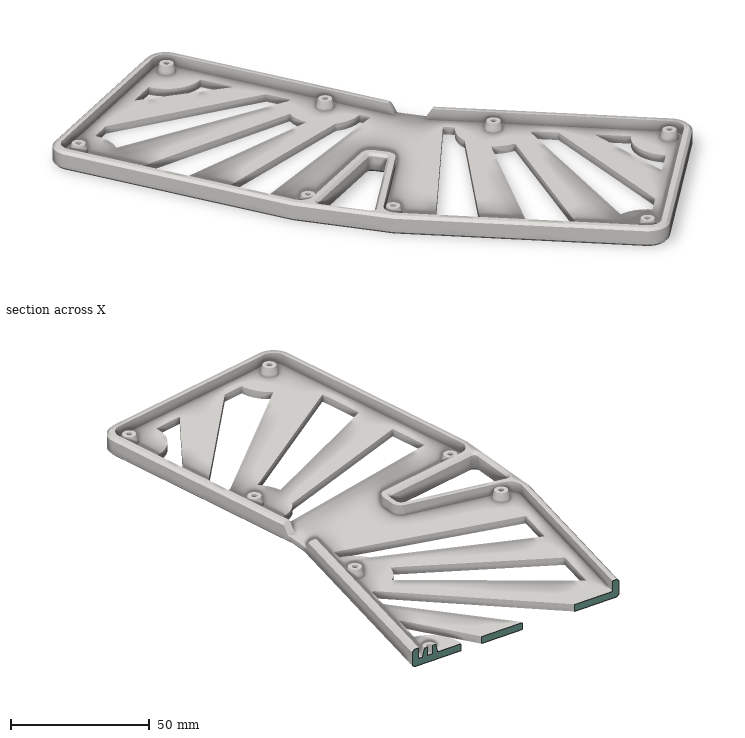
import cadquery as cq
import math

length = 231.1
depth = 104.5
height = 7.5

wing_angle = math.radians(10)
wing_cos = math.cos(wing_angle)
wing_sin = math.sin(wing_angle)

corner_radius = 8.0
front_flat_half = 19.0
back_flat_half = 4.5
edge_chamfer = 1.0

floor_thickness = 3.0
wall = 3.0
inner_radius = corner_radius - wall

window_back = 46.0
window_radius = 1.5
window_wall_radius = 4.0

gap_floor_half = 5.5
gap_rim_half = 8.3

boss_base_diameter = 7.0
boss_top_diameter = 5.0
boss_height = 3.5
hole_diameter = 2.2
boss_places = [(0.2, -0.2), (64.0, -0.2), (0.2, 71.2), (92.5, 71.2)]

fan_center = (0, 136.0)
fan_step = 7.1
slot_start_rays = [2, 4, 6, 8]
slot_margin = 8.0
boss_clearance_radius = 13.9


def along(point, u, v):
    """Move from a point by u along the left wing, towards the middle, and by v to its back."""
    return (point[0] + u * wing_cos + v * wing_sin, point[1] - u * wing_sin + v * wing_cos)


def mirrored(points):
    return [(-x, y) for x, y in reversed(points)]


def prism(left_points, bottom, thickness):
    """Upright prism on an outline given by its left half."""
    outline = left_points + mirrored(left_points)
    return cq.Workplane("XY").workplane(offset=bottom).polyline(outline).close().extrude(thickness)


def round_corners(body, points, radius):
    """Fillet the upright edges at the given points and at their mirror images."""
    margin = 0.2
    for x, y in points + mirrored(points):
        box = cq.selectors.BoxSelector((x - margin, y - margin, -2.3), (x + margin, y + margin, height + 2.3))
        body = body.edges("|Z").edges(box).fillet(radius)
    return body


middle_center = (-front_flat_half + corner_radius * math.tan(wing_angle / 2), corner_radius)
wing_length = (length / 2 - corner_radius + middle_center[0]) / wing_cos
front_center = along(middle_center, -wing_length, 0)
wing_depth = (depth - corner_radius - front_center[1]) / wing_cos
back_center = along(front_center, 0, wing_depth)

cavity_front = along(middle_center, inner_radius, -inner_radius)


def inner_edge_x(y, offset=0.0):
    """X of the line along the middle side of the left wing, moved by offset to the middle."""
    return cavity_front[0] + (y - cavity_front[1]) * math.tan(wing_angle) + offset / wing_cos


def outer_body():
    front_corner = along(front_center, -corner_radius, -corner_radius)
    back_corner = along(back_center, -corner_radius, corner_radius)
    back_edge = (-back_flat_half - back_corner[0]) / wing_cos
    bend = (-front_flat_half, 0)
    outline = [along(back_corner, back_edge, 0), back_corner, front_corner, bend]
    body = prism(outline, 0, height)
    return round_corners(body, [back_corner, front_corner, bend], corner_radius)


def window():
    back = (inner_edge_x(window_back, wall), window_back)
    front = (inner_edge_x(wall, wall), wall)
    return round_corners(prism([back, front], 0, height), [back, front], window_radius)


def cavity():
    front_corner = along(front_center, -inner_radius, -inner_radius)
    back_corner = along(back_center, -inner_radius, inner_radius)
    back_middle_y = along(back_corner, -back_corner[0] / wing_cos, 0)[1]
    window_wall_y = window_back + wall
    window_wall = (inner_edge_x(window_wall_y), window_wall_y)
    left = [back_corner, front_corner, cavity_front, window_wall]
    outline = left + mirrored(left) + [(0, back_middle_y)]
    body = cq.Workplane("XY").workplane(offset=floor_thickness).polyline(outline).close().extrude(height)
    body = round_corners(body, [back_corner, front_corner, cavity_front], inner_radius)
    return round_corners(body, [window_wall], window_wall_radius)


def back_gap():
    profile = [
        (-gap_rim_half, height),
        (-gap_floor_half, floor_thickness),
        (gap_floor_half, floor_thickness),
        (gap_rim_half, height),
    ]
    gap = cq.Workplane("XZ").polyline(profile).close().extrude(-depth / 2)
    return gap.translate((0, depth / 2, 0))


def boss_points():
    left = [along(back_center, u, -v) for u, v in boss_places]
    return left + mirrored(left)


def bosses():
    profile = [
        (hole_diameter / 2, 0),
        (boss_base_diameter / 2, 0),
        (boss_top_diameter / 2, boss_height),
        (hole_diameter / 2, boss_height),
    ]
    boss = cq.Workplane("XZ").polyline(profile).close().revolve(360, (0, 0), (0, 1))
    boss = boss.translate((0, 0, floor_thickness)).val()
    return cq.Workplane("XY").pushPoints(boss_points()).eachpoint(lambda place: boss.moved(place))


def slots():
    """Slots of the left wing: fan sectors kept clear of the wing edges and the bosses."""
    inset = corner_radius - slot_margin
    field = [
        along(back_center, -inset, inset),
        along(back_center, wing_length + inset, inset),
        along(middle_center, inset, -inset),
        along(front_center, -inset, -inset),
    ]
    field = cq.Workplane("XY").polyline(field).close().extrude(floor_thickness)
    clearance = cq.Workplane("XY").pushPoints(boss_points()).circle(boss_clearance_radius).extrude(height)
    field = field.cut(clearance)
    reach = length

    def ray_end(ray):
        angle = math.radians(ray * fan_step)
        return (fan_center[0] - reach * math.sin(angle), fan_center[1] - reach * math.cos(angle))

    fan = cq.Workplane("XY")
    for ray in slot_start_rays:
        sector = cq.Workplane("XY").polyline([fan_center, ray_end(ray), ray_end(ray + 1)]).close()
        fan = fan.add(sector.extrude(floor_thickness).intersect(field))
    return fan.combine()


left_slots = slots()
result = outer_body().cut(window())
result = result.faces("<Z or >Z").chamfer(edge_chamfer)
result = result.cut(cavity()).cut(back_gap())
result = result.union(bosses())
result = result.cut(left_slots).cut(left_slots.mirror("YZ"))